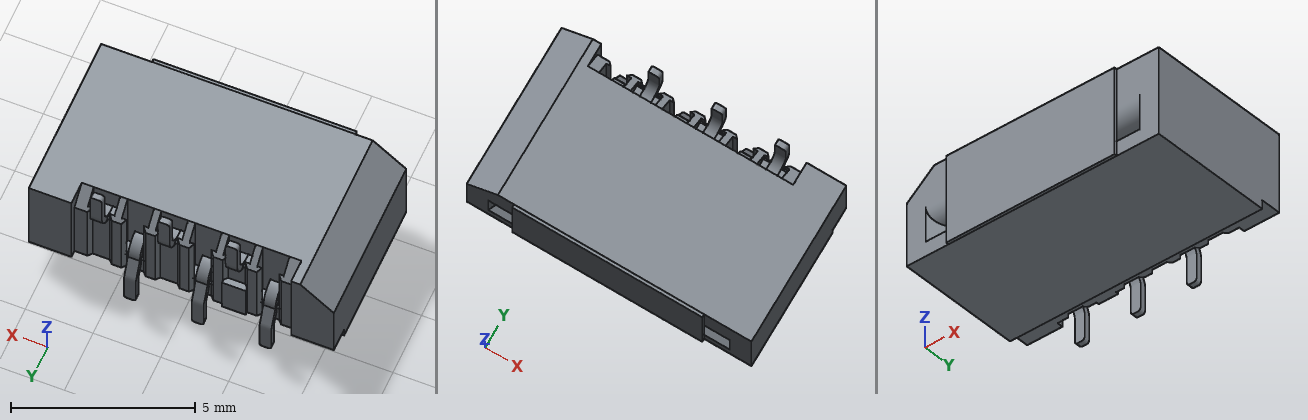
import cadquery as cq
import math


WIDTH = 9.0
DEPTH = 5.06
HEIGHT = 3.0
CORNER_CHAMFER_X = 0.99
CORNER_CHAMFER_Z = 0.84
STEP_HEIGHT = 0.3
STEP_DEPTH = 0.72

RECESS_WIDTH = 6.48
RECESS_DEPTH = STEP_DEPTH
RIB_INSET = 0.21
RIB_DROP = RECESS_DEPTH - RIB_INSET
WELL_WIDTH = 0.78
WELL_INSET = 0.32
WELL_EDGE_CHAMFER = 0.06
NOTCH_INNER_WIDTH = 0.5
NOTCH_OUTER_WIDTH = 0.72
STUB_WIDTH = 0.7
STUB_INSET = 0.12
STUB_TOP = HEIGHT / 2

MOUTH_WIDTH = 7.63
MOUTH_BOTTOM = 0.5
MOUTH_TOP = 1.7
FLARE_DEPTH = 0.5
FLARE_INSET = 0.31
SLOT_DEPTH = 2.52

COVER_WIDTH = 6.0
COVER_THICKNESS = 0.1

PITCH = 1.0
CONTACTS_PER_ROW = 3
CONTACT_WIDTH = 0.35
CONTACT_THICKNESS = 0.2
CONTACT_BACK = 0.045
TAIL_LENGTH = 0.7
TIP_RADIUS = 0.1
TAIL_INSET = 0.2
BEND_INNER_RADIUS = 0.43
BEND_OUTER_RADIUS = BEND_INNER_RADIUS + CONTACT_THICKNESS
CONTACT_FRONT = -1.8
LEAN_ANGLE = math.radians(24)
LEAN_INNER_RADIUS = 0.25
LEAN_OUTER_RADIUS = LEAN_INNER_RADIUS + CONTACT_THICKNESS
SHOULDER_INSET = 0.23
SHOULDER_RADIUS = 0.59

UPPER_RUN_TOP = HEIGHT - TAIL_INSET - BEND_INNER_RADIUS
LEAN_START_Y = CONTACT_BACK - LEAN_OUTER_RADIUS * (1 - math.cos(LEAN_ANGLE))
LEAN_START_Z = TAIL_INSET + LEAN_OUTER_RADIUS * math.sin(LEAN_ANGLE)
SHOULDER_Z = LEAN_START_Z + (LEAN_START_Y + SHOULDER_INSET) / math.tan(LEAN_ANGLE)
LOWER_RUN_TOP = SHOULDER_Z + SHOULDER_RADIUS
LOWER_RUN_BOTTOM = LOWER_RUN_TOP - CONTACT_THICKNESS

contact_xs = [(i - CONTACTS_PER_ROW + 0.5) * PITCH for i in range(2 * CONTACTS_PER_ROW)]
lower_xs = contact_xs[0::2]
upper_xs = contact_xs[1::2]


def block(width, y_front, y_back, z_bottom, z_top, x=0.0):
    """Box centred on x between the given Y and Z limits."""
    size = (width, y_back - y_front, z_top - z_bottom)
    return cq.Workplane("XY").box(*size, centered=(True, False, False)).translate((x, y_front, z_bottom))


def extrude_x(side_outline, width, x=0.0):
    """Solid from a closed (Y, Z) outline, centred on x."""
    return side_outline.extrude(width / 2, both=True).translate((x, 0, 0))


def polygon_x(points, width, x=0.0):
    """Solid with a straight-sided (Y, Z) outline, centred on x."""
    return extrude_x(cq.Workplane("YZ").polyline(points).close(), width, x)


def housing_block():
    half = WIDTH / 2
    outline = [
        (-half, 0),
        (half, 0),
        (half, HEIGHT),
        (-half + CORNER_CHAMFER_X, HEIGHT),
        (-half, HEIGHT - CORNER_CHAMFER_Z),
    ]
    body = cq.Workplane("XZ").polyline(outline).close().extrude(DEPTH)
    return body.cut(block(WIDTH, -STEP_DEPTH, 0, 0, STEP_HEIGHT))


def back_recess():
    """Full-height clearance behind the ribs, and the wedge above their sloping tops."""
    clearance = block(RECESS_WIDTH, -RIB_INSET, 0, 0, HEIGHT)
    slope = [(-RECESS_DEPTH, HEIGHT), (-RIB_INSET, HEIGHT - RIB_DROP), (-RIB_INSET, HEIGHT)]
    return clearance.union(polygon_x(slope, RECESS_WIDTH))


def well(x, floor):
    """Pocket between two ribs, with its floor sloping off at the back edge."""
    outline = [
        (-RECESS_DEPTH, HEIGHT),
        (-RECESS_DEPTH, floor),
        (-WELL_INSET - WELL_EDGE_CHAMFER, floor),
        (-WELL_INSET, floor - WELL_EDGE_CHAMFER),
        (-WELL_INSET, HEIGHT),
    ]
    return polygon_x(outline, WELL_WIDTH, x)


def notch(x):
    """Full-height groove, widening backwards, behind a well."""
    outline = [
        (-NOTCH_INNER_WIDTH / 2, -WELL_INSET),
        (NOTCH_INNER_WIDTH / 2, -WELL_INSET),
        (NOTCH_OUTER_WIDTH / 2, -RIB_INSET),
        (-NOTCH_OUTER_WIDTH / 2, -RIB_INSET),
    ]
    return cq.Workplane("XY").polyline(outline).close().extrude(HEIGHT).translate((x, 0, 0))


def locating_stub(x):
    """Block that fills the lower part of one notch and stands out behind the ribs."""
    return block(STUB_WIDTH, -WELL_INSET, -STUB_INSET, STEP_HEIGHT, STUB_TOP, x)


def front_slot():
    """Slot with a flared bottom and ends and a rounded upper lip."""
    front = -DEPTH
    flare_end = front + FLARE_DEPTH
    slot_end = front + SLOT_DEPTH
    slot_bottom = MOUTH_BOTTOM + FLARE_INSET
    slot_top = MOUTH_TOP - FLARE_DEPTH
    lip_mid = FLARE_DEPTH * math.sqrt(0.5)
    side = (
        cq.Workplane("YZ")
        .moveTo(front, MOUTH_BOTTOM)
        .lineTo(flare_end, slot_bottom)
        .lineTo(slot_end, slot_bottom)
        .lineTo(slot_end, slot_top)
        .lineTo(flare_end, slot_top)
        .threePointArc((flare_end - lip_mid, MOUTH_TOP - lip_mid), (front, MOUTH_TOP))
        .close()
    )
    mouth_half = MOUTH_WIDTH / 2
    slot_half = mouth_half - FLARE_INSET
    plan = [
        (-mouth_half, front),
        (mouth_half, front),
        (slot_half, flare_end),
        (slot_half, slot_end),
        (-slot_half, slot_end),
        (-slot_half, flare_end),
    ]
    plan_solid = cq.Workplane("XY").polyline(plan).close().extrude(HEIGHT)
    return extrude_x(side, MOUTH_WIDTH).intersect(plan_solid)


def round_tip(contact, end):
    """Round the two side corners of a tail tip; end is '>Z' or '<Z'."""
    return contact.faces(end).edges("|Y").fillet(TIP_RADIUS)


def upper_contact(x):
    """Contact that runs backwards and bends up through a quarter turn."""
    inner = CONTACT_BACK - CONTACT_THICKNESS
    bend_y = CONTACT_BACK - BEND_OUTER_RADIUS
    bend_z = HEIGHT - TAIL_INSET
    tip = HEIGHT + TAIL_LENGTH
    inner_mid = BEND_INNER_RADIUS * math.sqrt(0.5)
    outer_mid = BEND_OUTER_RADIUS * math.sqrt(0.5)
    side = (
        cq.Workplane("YZ")
        .moveTo(CONTACT_FRONT, UPPER_RUN_TOP)
        .lineTo(bend_y, UPPER_RUN_TOP)
        .threePointArc((bend_y + inner_mid, bend_z - inner_mid), (inner, bend_z))
        .lineTo(inner, tip)
        .lineTo(CONTACT_BACK, tip)
        .lineTo(CONTACT_BACK, bend_z)
        .threePointArc((bend_y + outer_mid, bend_z - outer_mid), (bend_y, bend_z - BEND_OUTER_RADIUS))
        .lineTo(CONTACT_FRONT, bend_z - BEND_OUTER_RADIUS)
        .close()
    )
    return round_tip(extrude_x(side, CONTACT_WIDTH, x), ">Z")


def lower_contact(x):
    """Contact that runs backwards, turns down over a shoulder and leans out to its tail."""
    inner = CONTACT_BACK - CONTACT_THICKNESS
    bend_y = CONTACT_BACK - LEAN_OUTER_RADIUS

    def bend_point(radius, angle):
        """Point on the bend above the tail, at the given turn from its start."""
        return (bend_y + radius * math.cos(angle), TAIL_INSET + radius * math.sin(angle))

    shoulder_y = -SHOULDER_INSET - SHOULDER_RADIUS
    shoulder_mid = SHOULDER_RADIUS * math.sqrt(0.5)
    under_radius = SHOULDER_RADIUS - CONTACT_THICKNESS
    under_mid = under_radius * math.sqrt(0.5)
    under_y = shoulder_y + under_radius
    lean_inner = bend_point(LEAN_INNER_RADIUS, LEAN_ANGLE)
    under_z = lean_inner[1] + (lean_inner[0] - under_y) / math.tan(LEAN_ANGLE)
    side = (
        cq.Workplane("YZ")
        .moveTo(CONTACT_FRONT, LOWER_RUN_TOP)
        .lineTo(shoulder_y, LOWER_RUN_TOP)
        .threePointArc((shoulder_y + shoulder_mid, SHOULDER_Z + shoulder_mid), (-SHOULDER_INSET, SHOULDER_Z))
        .lineTo(LEAN_START_Y, LEAN_START_Z)
        .threePointArc(bend_point(LEAN_OUTER_RADIUS, LEAN_ANGLE / 2), (CONTACT_BACK, TAIL_INSET))
        .lineTo(CONTACT_BACK, -TAIL_LENGTH)
        .lineTo(inner, -TAIL_LENGTH)
        .lineTo(inner, TAIL_INSET)
        .threePointArc(bend_point(LEAN_INNER_RADIUS, LEAN_ANGLE / 2), lean_inner)
        .lineTo(under_y, under_z)
        .lineTo(under_y, SHOULDER_Z)
        .threePointArc((shoulder_y + under_mid, SHOULDER_Z + under_mid), (shoulder_y, LOWER_RUN_BOTTOM))
        .lineTo(CONTACT_FRONT, LOWER_RUN_BOTTOM)
        .close()
    )
    return round_tip(extrude_x(side, CONTACT_WIDTH, x), "<Z")


lower_contacts = [lower_contact(x) for x in lower_xs]
upper_contacts = [upper_contact(x) for x in upper_xs]
contacts = lower_contacts + upper_contacts

housing = housing_block().cut(back_recess()).cut(front_slot())
for x in lower_xs:
    housing = housing.cut(well(x, SHOULDER_Z)).cut(notch(x))
for x in upper_xs:
    housing = housing.cut(well(x, UPPER_RUN_TOP)).cut(notch(x))
housing = housing.union(locating_stub(upper_xs[0]))
for contact in contacts:
    housing = housing.cut(contact)

cover = block(COVER_WIDTH, -DEPTH - COVER_THICKNESS, -DEPTH, 0, HEIGHT)

result = cq.Compound.makeCompound([
    housing.solids().val(),
    cover.val(),
    *[contact.solids().val() for contact in contacts],
])